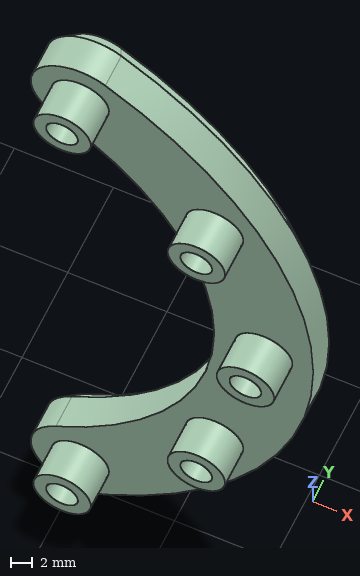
import cadquery as cq
import math

pitch_radius = 37.0
bar_width = 10.0
bar_thickness = 5.0
edge_chamfer = 1.5
boss_diameter = 5.8
boss_height = 4.0
hole_diameter = 3.2
boss_angles = [-60, -30, 0, 30, 60]

end_angle = boss_angles[-1]
end_radius = bar_width / 2
inner_radius = pitch_radius - end_radius
outer_radius = pitch_radius + end_radius


def polar(radius, angle):
    """Point (x, z) at a radius and an angle about the arc centre."""
    return (
        radius * math.cos(math.radians(angle)),
        radius * math.sin(math.radians(angle)),
    )


def end_tip(side):
    """Outermost point of the rounded end on the +Z (1) or -Z (-1) side."""
    x, z = polar(pitch_radius, side * end_angle)
    dx, dz = polar(end_radius, side * (end_angle + 90))
    return (x + dx, z + dz)


def make_bar():
    """Curved bar with rounded ends, from Y = 0 back to Y = bar_thickness."""
    bar = (
        cq.Workplane("XZ")
        .moveTo(*polar(outer_radius, -end_angle))
        .threePointArc((outer_radius, 0), polar(outer_radius, end_angle))
        .threePointArc(end_tip(1), polar(inner_radius, end_angle))
        .threePointArc((inner_radius, 0), polar(inner_radius, -end_angle))
        .threePointArc(end_tip(-1), polar(outer_radius, -end_angle))
        .close()
        .extrude(-bar_thickness)
    )
    return bar.faces(">Y").chamfer(edge_chamfer)


def make_bosses(centres):
    """Round bosses standing forward (-Y) of the bar, rooted at its front face."""
    return cq.Workplane("XZ").pushPoints(centres).circle(boss_diameter / 2).extrude(boss_height)


def make_holes(centres):
    """Cutters passing through every boss and the bar."""
    return (
        cq.Workplane("XZ", origin=(0, -boss_height, 0))
        .pushPoints(centres)
        .circle(hole_diameter / 2)
        .extrude(-(boss_height + bar_thickness))
    )


boss_centres = [polar(pitch_radius, angle) for angle in boss_angles]
result = make_bar().union(make_bosses(boss_centres)).cut(make_holes(boss_centres))